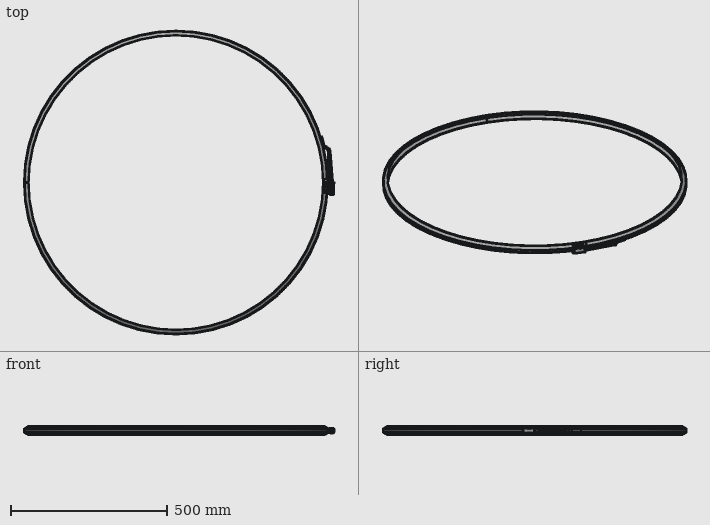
import cadquery as cq
import math

BAND_RADIUS = 486.0
WEB_HALF_HEIGHT = 5.0
BAND_HALF_HEIGHT = 14.0
FLANGE_REACH = 15.0
BAND_SHEET = 2.0
JOINT_GAP = 0.6

SADDLE_SHEET = 2.0
SADDLE_Y_MIN = -33.0
SADDLE_Y_MAX = 12.0
RIVET_HOLE_DIAMETER = 6.7
RIVET_HOLE_PLACE = (483.0, -13.0)
PILOT_HOLE_DIAMETER = 3.0
PILOT_HOLE_PLACE = (480.0, -25.0)
NOTCH_TIP_X = 484.0
NOTCH_Y_MAX = 1.0
NOTCH_Y_MIN = -12.0
LUG_X_MAX = 493.0
LUG_HEIGHT = 12.0

STRAP_THICKNESS = 4.0
STRAP_HEIGHT = 10.0
STRAP_FAR_Y = 148.0
STRAP_NEAR_Y = 119.0
HINGE_X = 489.0
HINGE_Y = 105.0
HINGE_DIAMETER = 8.0

OVERALL_LENGTH = 994
COLLAR_DIAMETER = 18.0
COLLAR_LENGTH = 2.0
KNOB_DIAMETER = 16.0
KNOB_END_Y = -40.0
KNOB_CHAMFER = 4.0
SLIT_WIDTH = 0.8
SLIT_DEPTH = 4.0
SLIT_END_Y = -32.0
KNOB_X = OVERALL_LENGTH - BAND_RADIUS - COLLAR_DIAMETER / 2
HANDLE_DIAMETER = 8.0
HANDLE_TOP_X = 491.0
LEVER_TOP_Y = 100.0
ROD_DIAMETER = 6.7
ROD_X = 490.0

FLANGE_ANGLE = math.atan2(BAND_HALF_HEIGHT - WEB_HALF_HEIGHT, FLANGE_REACH)
LIP_RADIUS = BAND_RADIUS - FLANGE_REACH


def v_ring(inner_offset, outer_offset):
    """V-section ring between two offsets of the band's outer face, its lips cut upright."""

    def upper_corners(outward):
        corner_rise = outward * math.tan((math.pi / 2 - FLANGE_ANGLE) / 2)
        web_corner = (BAND_RADIUS + outward, WEB_HALF_HEIGHT + corner_rise)
        lip_corner = (LIP_RADIUS, BAND_HALF_HEIGHT + outward / math.cos(FLANGE_ANGLE))
        return [web_corner, lip_corner]

    upper = upper_corners(outer_offset) + upper_corners(inner_offset)[::-1]
    lower = [(radius, -height) for radius, height in reversed(upper)]
    return cq.Workplane("XZ").polyline(upper + lower).close().revolve(360, (0, 0, 0), (0, 1, 0))


def box_between(x_min, x_max, y_min, y_max, height):
    """Box centred on the plane Z = 0."""
    centre = ((x_min + x_max) / 2, (y_min + y_max) / 2, 0)
    return cq.Workplane("XY").box(x_max - x_min, y_max - y_min, height).translate(centre)


def rod_between(start, end, diameter):
    """Round bar in the plane Z = 0 between two (x, y) points."""
    start_point = cq.Vector(*start, 0)
    run = cq.Vector(*end, 0) - start_point
    return cq.Workplane(cq.Solid.makeCylinder(diameter / 2, run.Length, start_point, run))


def upright_cylinder(place, diameter, height):
    """Cylinder along Z, centred on the plane Z = 0."""
    return cq.Workplane("XY").center(*place).circle(diameter / 2).extrude(height / 2, both=True)


def make_half_band(start_angle):
    """Half of the band, stopping short of the joint plane Y = 0 at both ends."""
    half_space = box_between(-BAND_RADIUS, BAND_RADIUS, JOINT_GAP / 2, BAND_RADIUS, 2 * BAND_HALF_HEIGHT)
    half = v_ring(-BAND_SHEET, 0).intersect(half_space)
    return half.rotate((0, 0, 0), (0, 0, 1), start_angle)


def make_saddle():
    """Short V-section cover over the band joint, with a lip notch, two holes and a rod lug."""
    height = 2 * BAND_HALF_HEIGHT
    envelope = box_between(LIP_RADIUS, LUG_X_MAX, SADDLE_Y_MIN, SADDLE_Y_MAX, height)
    saddle = v_ring(0, SADDLE_SHEET).intersect(envelope)

    notch = (
        cq.Workplane("XY")
        .moveTo(LIP_RADIUS, NOTCH_Y_MIN)
        .lineTo(NOTCH_TIP_X, NOTCH_Y_MAX)
        .lineTo(LIP_RADIUS, NOTCH_Y_MAX)
        .close()
        .extrude(height, both=True)
    )
    rivet_hole = upright_cylinder(RIVET_HOLE_PLACE, RIVET_HOLE_DIAMETER, height)
    pilot_hole = upright_cylinder(PILOT_HOLE_PLACE, PILOT_HOLE_DIAMETER, height)
    lug = box_between(BAND_RADIUS + SADDLE_SHEET / 2, LUG_X_MAX, 0, SADDLE_Y_MAX, LUG_HEIGHT)
    return saddle.cut(notch).cut(rivet_hole).cut(pilot_hole).union(lug)


def make_strap():
    """Strap bent to the band's radius, then widened and turned outward to the hinge barrel."""

    def on_circle(radius, y):
        return (math.sqrt(radius**2 - y**2), y)

    outer_radius = BAND_RADIUS + STRAP_THICKNESS
    middle_y = (STRAP_FAR_Y + STRAP_NEAR_Y) / 2
    strap = (
        cq.Workplane("XY")
        .moveTo(*on_circle(BAND_RADIUS, STRAP_FAR_Y))
        .threePointArc(on_circle(BAND_RADIUS, middle_y), on_circle(BAND_RADIUS, STRAP_NEAR_Y))
        .lineTo(HINGE_X, HINGE_Y - HINGE_DIAMETER / 2)
        .lineTo(HINGE_X, HINGE_Y + HINGE_DIAMETER / 2)
        .lineTo(*on_circle(outer_radius, STRAP_NEAR_Y))
        .threePointArc(on_circle(outer_radius, middle_y), on_circle(outer_radius, STRAP_FAR_Y))
        .close()
        .extrude(STRAP_HEIGHT / 2, both=True)
    )
    barrel = upright_cylinder((HINGE_X, HINGE_Y), HINGE_DIAMETER, STRAP_HEIGHT)
    return strap.union(barrel)


def make_lever():
    """Sloping handle with a collared, slit knob at its foot and a draw rod running to the saddle lug."""
    handle = rod_between((HANDLE_TOP_X, LEVER_TOP_Y), (KNOB_X, 0), HANDLE_DIAMETER)
    collar = rod_between((KNOB_X, 0), (KNOB_X, -COLLAR_LENGTH), COLLAR_DIAMETER)
    knob = rod_between((KNOB_X, 0), (KNOB_X, KNOB_END_Y), KNOB_DIAMETER)
    knob = knob.faces("<Y").chamfer(KNOB_CHAMFER)
    slit = box_between(
        KNOB_X - SLIT_WIDTH / 2, KNOB_X + SLIT_WIDTH / 2, SLIT_END_Y, -COLLAR_LENGTH, 2 * SLIT_DEPTH
    ).translate((0, 0, KNOB_DIAMETER / 2))
    knob = knob.cut(slit)
    rod = rod_between((ROD_X, LEVER_TOP_Y), (ROD_X, SADDLE_Y_MAX), ROD_DIAMETER)
    return handle.union(collar).union(knob).union(rod)


half_bands = [make_half_band(angle) for angle in (0, 180)]
saddle = make_saddle()
strap = make_strap()
lever = make_lever()
result = cq.Compound.makeCompound(
    [*(half.val() for half in half_bands), saddle.val(), strap.val(), lever.val()]
)